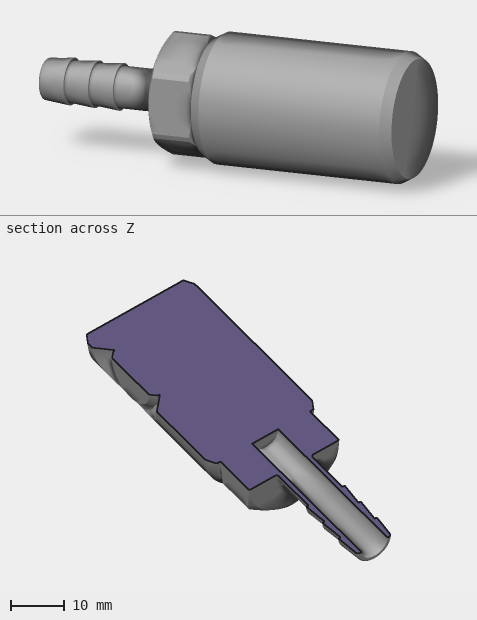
import cadquery as cq
import math


total_length = 74.6
hex_start = 25.0
body_start = 34.0

tail_radius = 8.0 / 2
barb_radius = 9.0 / 2
bore_radius = 6.0 / 2
bore_depth = body_start
tip_fillet = 0.5
root_fillet = 0.5
first_barb_end = 5.35
barb_pitch = 5.0
barb_count = 3

across_flats = 21.0
corner_radius = 23.6 / 2
hex_face_radius = 20.8 / 2
hex_chamfer_angle = math.radians(30)

body_radius = 25.0 / 2
body_chamfer_length = 2.0
body_chamfer_angle = math.radians(30)

button_from_end = 13.4
button_radius = 14.0 / 2
button_chamfer = 1.2
button_top = 11.1
recess_radius = 20.0 / 2
recess_depth = recess_radius - button_radius


def revolve_about_x(profile):
    return profile.revolve(360, (0, 0, 0), (1, 0, 0))


def make_tail():
    """Rounded tip, conical barbs and plain tube with a filleted root."""
    mid_arc_inset = 1 - math.cos(math.radians(45))
    tip_inset = tip_fillet * mid_arc_inset
    root_inset = root_fillet * mid_arc_inset
    tip_mid = (tip_inset, tail_radius - tip_inset)
    root_mid = (hex_start - root_inset, tail_radius + root_inset)
    profile = (
        cq.Workplane("XY")
        .lineTo(0, tail_radius - tip_fillet)
        .threePointArc(tip_mid, (tip_fillet, tail_radius))
    )
    for index in range(barb_count):
        barb_end = first_barb_end + index * barb_pitch
        profile = profile.lineTo(barb_end, barb_radius).lineTo(barb_end, tail_radius)
    profile = (
        profile.lineTo(hex_start - root_fillet, tail_radius)
        .threePointArc(root_mid, (hex_start, tail_radius + root_fillet))
        .lineTo(hex_start, 0)
        .close()
    )
    return revolve_about_x(profile)


def make_double_chamfered_cylinder(start, end, radius, end_radius, chamfer_length):
    """Cylinder along X whose two ends taper from radius to end_radius."""
    profile = cq.Workplane("XY").polyline([
        (start, 0),
        (start, end_radius),
        (start + chamfer_length, radius),
        (end - chamfer_length, radius),
        (end, end_radius),
        (end, 0),
    ]).close()
    return revolve_about_x(profile)


def make_hexagon():
    """Hexagon with flats facing +Y and -Y, trimmed by a chamfered cylinder."""
    across_corners = across_flats / math.cos(math.pi / 6)
    prism = (
        cq.Workplane("YZ", origin=(hex_start, 0, 0))
        .transformed(rotate=(0, 0, 90))
        .polygon(6, across_corners)
        .extrude(body_start - hex_start)
    )
    chamfer_length = (corner_radius - hex_face_radius) * math.tan(hex_chamfer_angle)
    envelope = make_double_chamfered_cylinder(
        hex_start, body_start, corner_radius, hex_face_radius, chamfer_length
    )
    return prism.intersect(envelope)


def make_body():
    end_radius = body_radius - body_chamfer_length * math.tan(body_chamfer_angle)
    return make_double_chamfered_cylinder(
        body_start, total_length, body_radius, end_radius, body_chamfer_length
    )


def make_button_recess():
    """Countersink around the chamfered button, together with the space above the button."""
    button_x = total_length - button_from_end
    profile = cq.Workplane("XY").polyline([
        (0, button_top),
        (button_radius - button_chamfer, button_top),
        (button_radius, button_top - button_chamfer),
        (button_radius, body_radius - recess_depth),
        (recess_radius, body_radius),
        (0, body_radius),
    ]).close()
    recess = profile.revolve(360, (0, 0, 0), (0, 1, 0))
    return recess.translate((button_x, 0, 0))


def make_bore():
    return cq.Workplane("YZ").circle(bore_radius).extrude(bore_depth)


result = (
    make_tail()
    .union(make_hexagon())
    .union(make_body())
    .cut(make_button_recess())
    .cut(make_bore())
)